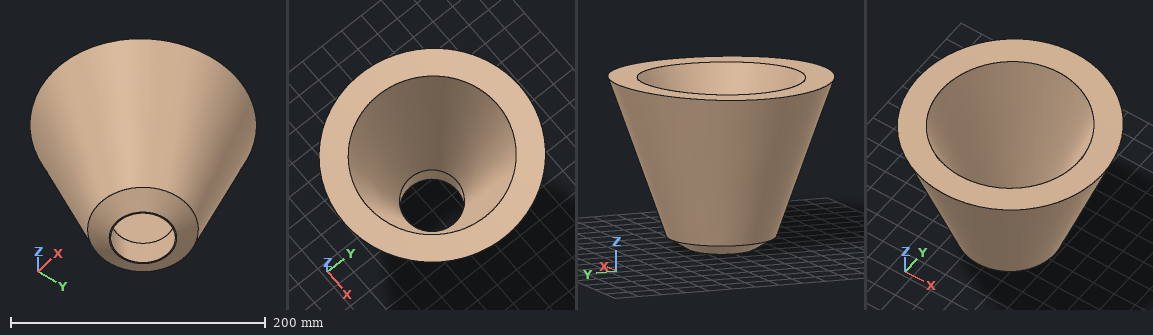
import cadquery as cq

rim_radius = 89.5
height = 138.0
shoulder_radius = 43.5
shoulder_height = 10.0
base_radius = 26.5

mouth_radius = 66.6
throat_radius = 25.5

dish_radius = 1700.6
dish_tilt = 0.55
dish_depth = 2.5
trim_allowance = 9.0

wall_slope = (rim_radius - shoulder_radius) / (height - shoulder_height)
throat_height = height - (mouth_radius - throat_radius) / wall_slope


def untrimmed_funnel():
    """Revolve the wall section, given as (radius, z), about the Z axis."""
    top = height + trim_allowance
    flare = wall_slope * trim_allowance
    section = [
        (throat_radius, 0),
        (base_radius, 0),
        (shoulder_radius, shoulder_height),
        (rim_radius + flare, top),
        (mouth_radius + flare, top),
        (throat_radius, throat_height),
    ]
    return cq.Workplane("XZ").polyline(section).close().revolve(360, (0, 0), (0, 1))


def dish_cutter():
    """Cylinder along X with its lowest line crossing the funnel axis, tilted there."""
    return (
        cq.Workplane("YZ")
        .center(0, dish_radius)
        .circle(dish_radius)
        .extrude(2 * rim_radius, both=True)
        .rotate((0, 0, 0), (0, 1, 0), -dish_tilt)
        .translate((0, 0, height - dish_depth))
    )


result = untrimmed_funnel().cut(dish_cutter())